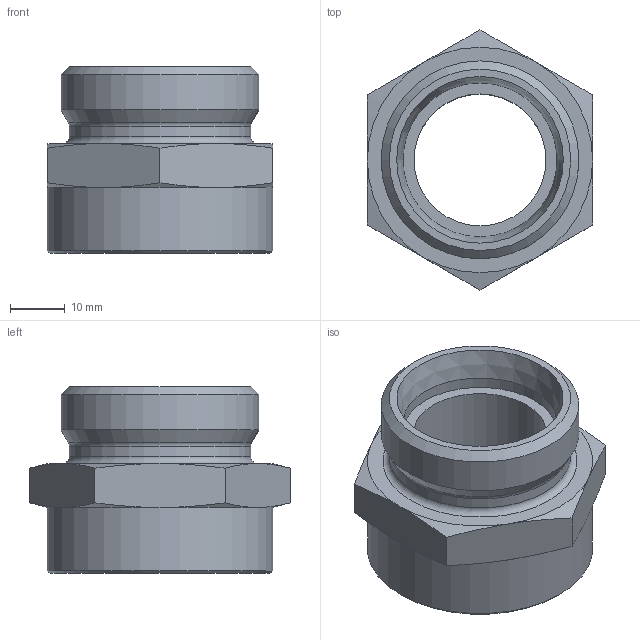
import cadquery as cq
import math

total_height = 34.0
hex_bottom = 12.0
hex_top = 20.0

body_radius = 41.0 / 2
body_chamfer = 0.5

hex_across_flats = 41.0
hex_half_sector = 30.0
hex_across_corners = hex_across_flats / math.cos(math.radians(hex_half_sector))
hex_chamfer_angle = math.radians(15)

neck_radius = 36.0 / 2
neck_chamfer = 1.5
undercut_radius = 33.0 / 2
undercut_width = 3.5
undercut_fillet = 1.2
runout_angle = math.radians(30)

bore_radius = 24.0 / 2
socket_radius = 28.0 / 2
mouth_radius = 30.3 / 2
seat_half_angle = math.radians(12)
socket_depth = 7.5


def make_body():
    """Plain cylinder below the collar, chamfered at its lower rim."""
    body = cq.Workplane("XY").circle(body_radius).extrude(hex_bottom)
    return body.faces("<Z").chamfer(body_chamfer)


def make_hex_collar():
    """Hexagon whose corners are trimmed by a cone above and below."""
    height = hex_top - hex_bottom
    corner_radius = hex_across_corners / 2
    flat_radius = hex_across_flats / 2
    corner_drop = (corner_radius - flat_radius) * math.tan(hex_chamfer_angle)
    prism = (
        cq.Workplane("XY", origin=(0, 0, hex_bottom))
        .polygon(6, hex_across_corners)
        .extrude(height)
        .rotate((0, 0, 0), (0, 0, 1), hex_half_sector)
    )
    trimming_cone = (
        cq.Workplane("XZ")
        .moveTo(0, hex_bottom)
        .lineTo(flat_radius, hex_bottom)
        .lineTo(corner_radius, hex_bottom + corner_drop)
        .lineTo(corner_radius, hex_top - corner_drop)
        .lineTo(flat_radius, hex_top)
        .lineTo(0, hex_top)
        .close()
        .revolve(360, (0, 0, 0), (0, 1, 0))
    )
    return prism.intersect(trimming_cone)


def make_neck():
    """Neck turned above the collar, with a filleted undercut and a chamfered tip."""
    runout_height = (neck_radius - undercut_radius) / math.tan(runout_angle)
    runout_bottom = hex_top + undercut_width
    runout_top = runout_bottom + runout_height
    tangent_length = undercut_fillet * math.tan(runout_angle / 2)
    fillet_start = runout_bottom - tangent_length
    fillet_center_radius = undercut_radius + undercut_fillet

    def fillet_point(angle):
        """Point on the runout fillet, measured from its start on the undercut."""
        return (
            fillet_center_radius - undercut_fillet * math.cos(angle),
            fillet_start + undercut_fillet * math.sin(angle),
        )

    foot_angle = math.radians(45)
    foot_center_z = hex_top + undercut_fillet
    foot_middle = (
        fillet_center_radius - undercut_fillet * math.cos(foot_angle),
        foot_center_z - undercut_fillet * math.sin(foot_angle),
    )
    return (
        cq.Workplane("XZ")
        .moveTo(0, hex_top)
        .lineTo(fillet_center_radius, hex_top)
        .threePointArc(foot_middle, (undercut_radius, foot_center_z))
        .lineTo(undercut_radius, fillet_start)
        .threePointArc(fillet_point(runout_angle / 2), fillet_point(runout_angle))
        .lineTo(neck_radius, runout_top)
        .lineTo(neck_radius, total_height - neck_chamfer)
        .lineTo(neck_radius - neck_chamfer, total_height)
        .lineTo(0, total_height)
        .close()
        .revolve(360, (0, 0, 0), (0, 1, 0))
    )


def make_bore():
    """Through bore, tube socket and conical seat as one cutting solid."""
    seat_depth = (mouth_radius - socket_radius) / math.tan(seat_half_angle)
    socket_floor = total_height - socket_depth
    return (
        cq.Workplane("XZ")
        .moveTo(0, 0)
        .lineTo(bore_radius, 0)
        .lineTo(bore_radius, socket_floor)
        .lineTo(socket_radius, socket_floor)
        .lineTo(socket_radius, total_height - seat_depth)
        .lineTo(mouth_radius, total_height)
        .lineTo(0, total_height)
        .close()
        .revolve(360, (0, 0, 0), (0, 1, 0))
    )


result = make_body().union(make_hex_collar()).union(make_neck()).cut(make_bore())